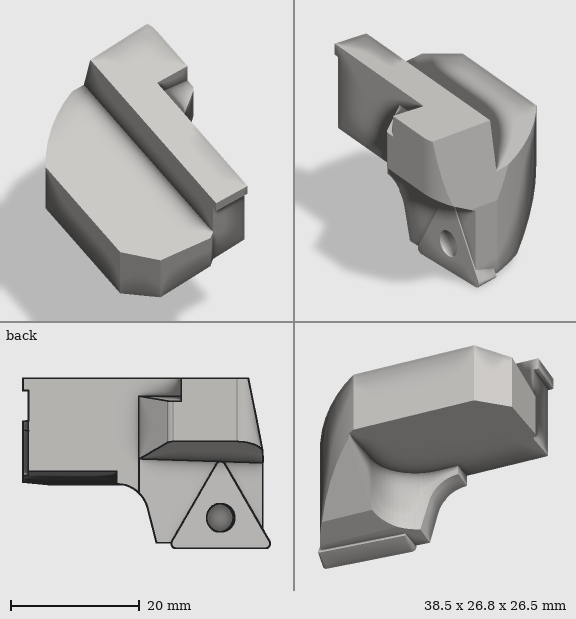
import cadquery as cq
import math

length = 38.48
depth = 26.8
height = 26.5
clear = 7.7

front_left = 13.6
front_arc_mid = (5.08, 8.43)
nose_x, nose_y = 1.42, 15.6
end_chamfer = 4.5
rear_corner_r = 4.25
lobe_right = 15.65
lobe_foot = 20.45
lobe_corner_r = 1.15

bar_front = 15.05
bar_back = 21.0
ledge_front_z = 20.4
shelf_slope = 0.14
shelf_left = 13.8
shelf_z = 23.7

recess_depth = 0.85
recess_top = 24.55
recess_chamfer = 1.08

swing = 3.9
flank_top_x = 4.15
flank_foot_z = 13.78

bottom_z = 0.9
bottom_flat_y = 15.1
bevel_y, bevel_z = 10.05, 1.45
bevel_slope = 0.826
belly_front_z = 9.9
belly_slope = 0.1
relief_x = 12.5
relief_y = 9.55
relief_r = 8.0
leg_right = 17.7
leg_top_x, leg_top_z = 19.1, 6.3
leg_arc_r = 4.95
head_slope = 0.48
head_foot_y, head_foot_z = 20.4, 13.6

insert_side = 16.55
insert_corner_r = 0.77
insert_thickness = 3.85
insert_relief = 7.4
insert_hole_d = 4.4
rake_y = 19.97
rake_proud = 0.25


def prism_along_x(points):
    """Prism with a (Y, Z) outline that spans the whole length."""
    return cq.Workplane("YZ").workplane(offset=-clear).polyline(points).close().extrude(length + 2 * clear)


def swung(body, x, y):
    """Turn a body by the swing angle about a vertical axis."""
    return body.rotate((x, y, 0), (x, y, 1), swing)


def holder_blank():
    side_x = nose_x - (depth - nose_y) * math.tan(math.radians(swing))
    blank = (
        cq.Workplane("XY")
        .moveTo(nose_x, nose_y)
        .threePointArc(front_arc_mid, (front_left, 0))
        .lineTo(length - end_chamfer, 0)
        .lineTo(length, end_chamfer)
        .lineTo(length, bar_back)
        .lineTo(lobe_foot, bar_back)
        .lineTo(lobe_right, depth)
        .lineTo(side_x, depth)
        .close()
        .extrude(height)
    )
    blank = blank.edges(cq.NearestToPointSelector((side_x, depth, height / 2))).fillet(rear_corner_r)
    return blank.edges(cq.NearestToPointSelector((lobe_right, depth, height / 2))).fillet(lobe_corner_r)


def front_ledge_cut():
    return prism_along_x([
        (-clear, ledge_front_z + shelf_slope * clear),
        (bar_front, ledge_front_z - shelf_slope * bar_front),
        (bar_front, height + clear),
        (-clear, height + clear),
    ])


def rear_shelf_cut():
    profile = [
        (bar_back, shelf_z),
        (depth + clear, shelf_z - shelf_slope * (depth + clear - bar_back)),
        (depth + clear, height + clear),
        (bar_back, height + clear),
    ]
    return cq.Workplane("YZ").workplane(offset=shelf_left).polyline(profile).close().extrude(length)


def end_recess_cut():
    inner_x = length - recess_depth
    return (
        cq.Workplane("XY")
        .moveTo(inner_x, bar_front)
        .lineTo(length, bar_front - recess_chamfer)
        .lineTo(length + clear, bar_front - recess_chamfer)
        .lineTo(length + clear, depth)
        .lineTo(inner_x, depth)
        .close()
        .extrude(recess_top)
    )


def flank_cut():
    swing_slope = math.tan(math.radians(swing))
    foot_x = nose_x + (nose_y - bar_front) * swing_slope
    lean = (flank_top_x - foot_x) / (height - flank_foot_z)
    profile = [
        (foot_x, flank_foot_z),
        (flank_top_x + lean * clear, height + clear),
        (-clear, height + clear),
        (-clear, flank_foot_z),
    ]
    wedge = (
        cq.Workplane("XZ", origin=(0, -clear, 0))
        .polyline(profile).close().extrude(-(depth + 2 * clear))
    )
    return swung(wedge, 0, bar_front)


def bottom_cut():
    return prism_along_x([
        (-clear, bevel_z + bevel_slope * (bevel_y + clear)),
        (bevel_y, bevel_z),
        (bottom_flat_y, bottom_z),
        (depth + clear, bottom_z),
        (depth + clear, -clear),
        (-clear, -clear),
    ])


def leg_arc():
    """Lean angle of the leg's right side and the centre of its tangent arc."""
    lean = math.atan2(leg_top_x - leg_right, leg_top_z - bottom_z)
    centre_x = leg_top_x + leg_arc_r * math.cos(lean)
    centre_z = leg_top_z - leg_arc_r * math.sin(lean)
    return lean, centre_x, centre_z


def belly_relief_cut():
    """Space in front of and beyond the leg, closed above by the sloping belly."""
    _, leg_end_x, _ = leg_arc()
    diagonal = relief_r * math.sqrt(0.5)
    centre_x = relief_x + relief_r
    plan = (
        cq.Workplane("XY")
        .moveTo(relief_x, -clear)
        .lineTo(relief_x, relief_y)
        .threePointArc(
            (centre_x - diagonal, relief_y + diagonal),
            (centre_x, relief_y + relief_r),
        )
        .lineTo(leg_end_x, relief_y + relief_r)
        .lineTo(leg_end_x, depth)
        .lineTo(length + clear, depth)
        .lineTo(length + clear, -clear)
        .close()
        .extrude(height)
    )
    below_belly = prism_along_x([
        (-clear, belly_front_z - belly_slope * clear),
        (depth, belly_front_z + belly_slope * depth),
        (depth, -clear),
        (-clear, -clear),
    ])
    return plan.intersect(below_belly)


def leg_side_cut():
    """Space right of the leg, blended into a flat roof by a tangent arc."""
    lean, centre_x, centre_z = leg_arc()
    mid_angle = (math.pi + lean + math.pi / 2) / 2
    arc_mid = (centre_x + leg_arc_r * math.cos(mid_angle), centre_z + leg_arc_r * math.sin(mid_angle))
    return (
        cq.Workplane("XZ", origin=(0, relief_y, 0))
        .moveTo(leg_right, bottom_z)
        .lineTo(leg_top_x, leg_top_z)
        .threePointArc(arc_mid, (centre_x, centre_z + leg_arc_r))
        .lineTo(length + clear, centre_z + leg_arc_r)
        .lineTo(length + clear, 0)
        .lineTo(leg_right, 0)
        .close()
        .extrude(-depth)
    )


def seat_back_cut():
    """Space behind the insert seat, closed above by the head's sloping underside."""
    under_head = prism_along_x([
        (head_foot_y - clear, head_foot_z - head_slope * clear),
        (depth + clear, head_foot_z + head_slope * (depth + clear - head_foot_y)),
        (depth + clear, -clear),
        (head_foot_y - clear, -clear),
    ])
    behind_seat = cq.Workplane("XY").box(
        length + 2 * clear, depth, height, centered=False
    ).translate((-clear, rake_y - rake_proud, 0))
    return swung(behind_seat, 0, rake_y).intersect(under_head)


def insert_blank():
    """Rounded triangle that narrows away from its rake face."""
    apex_z = insert_side * math.sqrt(3) / 2
    overhang = (math.sqrt(3) - 1) * insert_corner_r
    triangle = (
        cq.Sketch()
        .polygon([
            (-overhang, 0),
            (insert_side - overhang, 0),
            (insert_side / 2 - overhang, apex_z),
            (-overhang, 0),
        ])
        .vertices()
        .fillet(insert_corner_r)
    )
    blank = (
        cq.Workplane("XZ", origin=(0, rake_y, 0))
        .placeSketch(triangle)
        .extrude(insert_thickness, taper=insert_relief)
    )
    return swung(blank, 0, rake_y)


def make_holder():
    holder = holder_blank()
    for cut in (
        front_ledge_cut(),
        rear_shelf_cut(),
        end_recess_cut(),
        flank_cut(),
        bottom_cut(),
        belly_relief_cut(),
        leg_side_cut(),
        seat_back_cut(),
        insert_blank(),
    ):
        holder = holder.cut(cut)
    return holder


def make_insert():
    centre_x = insert_side / 2 - (math.sqrt(3) - 1) * insert_corner_r
    centre_z = insert_side / (2 * math.sqrt(3))
    hole = (
        cq.Workplane("XZ", origin=(0, rake_y + clear, 0))
        .center(centre_x, centre_z)
        .circle(insert_hole_d / 2)
        .extrude(insert_thickness + 2 * clear)
    )
    return insert_blank().cut(swung(hole, 0, rake_y))


holder = make_holder()
insert = make_insert()

result = cq.Compound.makeCompound([holder.solids().val(), insert.solids().val()])